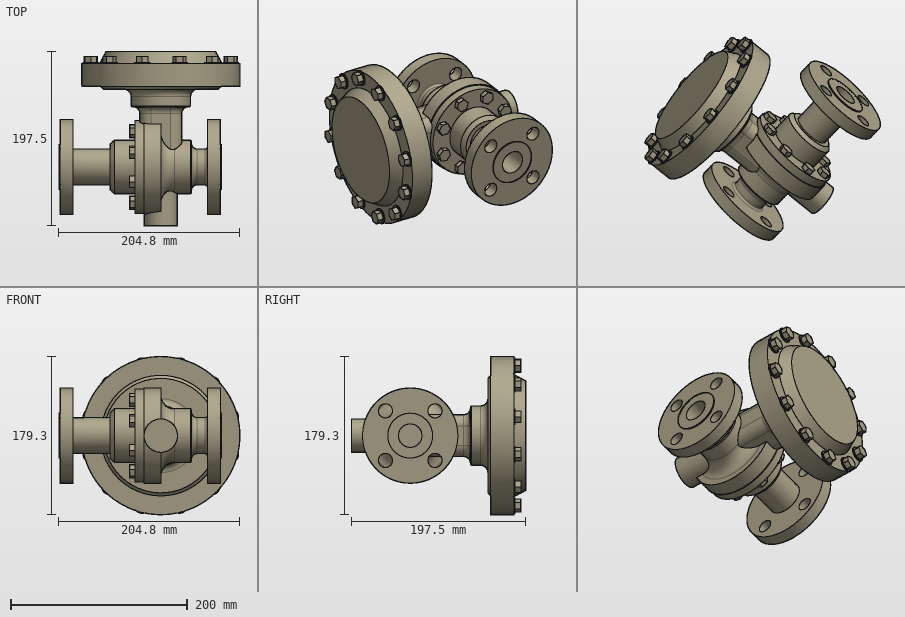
import cadquery as cq
import math


FLANGE_RADIUS = 54.0
FLANGE_THICKNESS = 14.7
RAISED_FACE_RADIUS = 25.4
RAISED_FACE_HEIGHT = 1.3
FLANGE_BOLT_CIRCLE_RADIUS = 39.7
FLANGE_HOLE_DIAMETER = 16.0
FLANGE_HOLE_COUNT = 4
INLET_END = -115.15
OUTLET_END = 68.75
BORE_DIAMETER = 26.6
INLET_FLANGE_BACK = INLET_END + RAISED_FACE_HEIGHT + FLANGE_THICKNESS
OUTLET_FLANGE_BACK = OUTLET_END - RAISED_FACE_HEIGHT - FLANGE_THICKNESS

PIPE_RADIUS = 20.5
HUB_RADIUS = 30.5
HUB_START = -57.3
HUB_CHAMFER = 4.6
COVER_START = -29.4
COVER_RADIUS = 52.8
BODY_START = -19.1
BODY_RADIUS = FLANGE_RADIUS
BODY_FILLET = 15.6
SHOULDER_END = 34.8
SHOULDER_CHAMFER = 1.2
SHOULDER_FILLET = 6.2
OUTLET_FILLET = 2.6

BRANCH_RADIUS = 18.9
BRANCH_END = -66.65

NECK_WIDTH = 47.7
NECK_CORNER_RADIUS = 12.9
NECK_FILLET = 7.4
COLLAR_START = 68.0
COLLAR_RADIUS = 33.8
COLLAR_CHAMFER = 1.2
PAD_START = 87.8
PAD_RADIUS = 64.8
PAD_BASE_RADIUS = 68.3
COLLAR_FILLET = 8.0
HOUSING_START = 91.1
HOUSING_END = 117.3
HOUSING_RADIUS = 89.66
CAP_END = 130.8
CAP_BASE_RADIUS = 69.2
CAP_TOP_RADIUS = 62.1

VENT_DIAMETER = 12.7
VENT_X = 56.5
VENT_DEPTH = 20.0

HEX_ACROSS_FLATS = 13.0
HEX_ACROSS_CORNERS = HEX_ACROSS_FLATS / math.cos(math.pi / 6)
COVER_BOLT_COUNT = 8
COVER_BOLT_CIRCLE_RADIUS = 43.8
COVER_HEAD_HEIGHT = 5.8
COVER_BOLT_TWIST = -7.5
HOUSING_BOLT_COUNT = 12
HOUSING_BOLT_CIRCLE_RADIUS = 82.0
HOUSING_HEAD_HEIGHT = 6.8
HOUSING_BOLT_TWIST = -15.0
WASHER_DIAMETER = 17.6
WASHER_THICKNESS = 1.2


def x_cylinder(radius, x_start, x_end):
    return cq.Workplane("YZ", origin=(x_start, 0, 0)).circle(radius).extrude(x_end - x_start)


def quarter_arc_middle(center_u, center_v, radius, sign_u, sign_v):
    """Point halfway along a quarter arc lying in the given quadrant of its centre."""
    offset = radius * math.cos(math.pi / 4)
    return (center_u + sign_u * offset, center_v + sign_v * offset)


def valve_body():
    """Turned body from the inlet flange back to the outlet flange back."""
    body_arc_end = BODY_FILLET
    body_arc_top = HUB_RADIUS + BODY_FILLET
    shoulder_arc_end = SHOULDER_END + SHOULDER_FILLET
    outlet_arc_start = OUTLET_FLANGE_BACK - OUTLET_FILLET
    body_arc_middle = quarter_arc_middle(body_arc_end, body_arc_top, BODY_FILLET, -1, -1)
    shoulder_arc_middle = quarter_arc_middle(
        shoulder_arc_end, PIPE_RADIUS + SHOULDER_FILLET, SHOULDER_FILLET, -1, -1
    )
    outlet_arc_middle = quarter_arc_middle(
        outlet_arc_start, PIPE_RADIUS + OUTLET_FILLET, OUTLET_FILLET, 1, -1
    )
    return (
        cq.Workplane("XY")
        .moveTo(INLET_FLANGE_BACK, 0)
        .lineTo(INLET_FLANGE_BACK, PIPE_RADIUS)
        .lineTo(HUB_START, PIPE_RADIUS)
        .lineTo(HUB_START, HUB_RADIUS - HUB_CHAMFER)
        .lineTo(HUB_START + HUB_CHAMFER, HUB_RADIUS)
        .lineTo(COVER_START, HUB_RADIUS)
        .lineTo(COVER_START, COVER_RADIUS)
        .lineTo(BODY_START, COVER_RADIUS)
        .lineTo(BODY_START, BODY_RADIUS)
        .lineTo(0, BODY_RADIUS)
        .lineTo(0, body_arc_top)
        .threePointArc(body_arc_middle, (body_arc_end, HUB_RADIUS))
        .lineTo(SHOULDER_END - SHOULDER_CHAMFER, HUB_RADIUS)
        .lineTo(SHOULDER_END, HUB_RADIUS - SHOULDER_CHAMFER)
        .lineTo(SHOULDER_END, PIPE_RADIUS + SHOULDER_FILLET)
        .threePointArc(shoulder_arc_middle, (shoulder_arc_end, PIPE_RADIUS))
        .lineTo(outlet_arc_start, PIPE_RADIUS)
        .threePointArc(outlet_arc_middle, (OUTLET_FLANGE_BACK, PIPE_RADIUS + OUTLET_FILLET))
        .lineTo(OUTLET_FLANGE_BACK, 0)
        .close()
        .revolve(360, (0, 0, 0), (1, 0, 0))
    )


def end_flange(back, face):
    """Drilled flange whose raised face ends at x = face."""
    outward = math.copysign(1, face - back)
    rim_end = face - outward * RAISED_FACE_HEIGHT
    holes = (
        cq.Workplane("YZ", origin=(back, 0, 0))
        .polarArray(FLANGE_BOLT_CIRCLE_RADIUS, 180 / FLANGE_HOLE_COUNT, 360, FLANGE_HOLE_COUNT)
        .circle(FLANGE_HOLE_DIAMETER / 2)
        .extrude(rim_end - back)
    )
    raised_face = x_cylinder(RAISED_FACE_RADIUS, back, face)
    return x_cylinder(FLANGE_RADIUS, back, rim_end).cut(holes).union(raised_face)


def branch():
    return cq.Workplane("XZ").circle(BRANCH_RADIUS).extrude(-BRANCH_END)


def neck():
    """Rounded-square column whose top flares into the underside of the collar."""
    plate_width = 3 * COLLAR_RADIUS
    margin = 1.0
    column = (
        cq.Workplane("XZ")
        .rect(NECK_WIDTH, NECK_WIDTH)
        .extrude(-COLLAR_START)
        .edges("|Y")
        .fillet(NECK_CORNER_RADIUS)
    )
    plate = (
        cq.Workplane("XZ", origin=(0, COLLAR_START, 0))
        .rect(plate_width, plate_width)
        .extrude(-COLLAR_CHAMFER)
    )
    reach = NECK_WIDTH / 2 + margin
    root_edges = cq.selectors.BoxSelector(
        (-reach, COLLAR_START - margin, -reach), (reach, COLLAR_START + margin, reach)
    )
    flared = column.union(plate).edges(root_edges).fillet(NECK_FILLET)
    trim = (
        cq.Workplane("XZ")
        .circle(COLLAR_RADIUS - COLLAR_CHAMFER)
        .extrude(-COLLAR_START - COLLAR_CHAMFER)
    )
    return flared.intersect(trim)


def housing():
    """Collar, pad, diaphragm housing and conical cap, turned about Y."""
    fillet_start = PAD_START - COLLAR_FILLET
    fillet_radius_end = COLLAR_RADIUS + COLLAR_FILLET
    fillet_middle = quarter_arc_middle(fillet_radius_end, fillet_start, COLLAR_FILLET, -1, 1)
    return (
        cq.Workplane("XY")
        .moveTo(0, COLLAR_START)
        .lineTo(COLLAR_RADIUS - COLLAR_CHAMFER, COLLAR_START)
        .lineTo(COLLAR_RADIUS, COLLAR_START + COLLAR_CHAMFER)
        .lineTo(COLLAR_RADIUS, fillet_start)
        .threePointArc(fillet_middle, (fillet_radius_end, PAD_START))
        .lineTo(PAD_RADIUS, PAD_START)
        .lineTo(PAD_BASE_RADIUS, HOUSING_START)
        .lineTo(HOUSING_RADIUS, HOUSING_START)
        .lineTo(HOUSING_RADIUS, HOUSING_END)
        .lineTo(CAP_BASE_RADIUS, HOUSING_END)
        .lineTo(CAP_TOP_RADIUS, CAP_END)
        .lineTo(0, CAP_END)
        .close()
        .revolve(360, (0, 0, 0), (0, 1, 0))
    )


def hex_head(height):
    """Bolt head standing on the XY plane with flats facing +X and -X."""
    return (
        cq.Workplane("XY")
        .transformed(rotate=(0, 0, 30))
        .polygon(6, HEX_ACROSS_CORNERS)
        .extrude(height)
    )


def bolt_ring(bolt, count, circle_radius, twist):
    """Copies of a Z-axis bolt, spaced half a pitch off the X axis.

    Each bolt turns with the ring and is also twisted about its own axis.
    """
    pitch = 360 / count
    twisted = bolt.rotate((0, 0, 0), (0, 0, 1), twist)
    on_axis = twisted.translate((circle_radius, 0, 0))
    ring = cq.Workplane("XY")
    for index in range(count):
        ring = ring.add(on_axis.rotate((0, 0, 0), (0, 0, 1), pitch * (index + 0.5)))
    return ring


def cover_bolts():
    """Heads on the inlet side of the cover, pointing toward -X."""
    head = hex_head(COVER_HEAD_HEIGHT)
    ring = bolt_ring(head, COVER_BOLT_COUNT, COVER_BOLT_CIRCLE_RADIUS, COVER_BOLT_TWIST)
    return ring.rotate((0, 0, 0), (0, 1, 0), -90).translate((COVER_START, 0, 0))


def housing_bolts():
    """Heads and washers on the far side of the housing, pointing toward +Y."""
    washer = cq.Workplane("XY").circle(WASHER_DIAMETER / 2).extrude(WASHER_THICKNESS)
    bolt = washer.union(hex_head(WASHER_THICKNESS + HOUSING_HEAD_HEIGHT))
    ring = bolt_ring(bolt, HOUSING_BOLT_COUNT, HOUSING_BOLT_CIRCLE_RADIUS, HOUSING_BOLT_TWIST)
    return ring.rotate((0, 0, 0), (1, 0, 0), -90).translate((0, HOUSING_END, 0))


def flow_bores():
    """Blind bores from both flange faces to the ends of the central body."""
    inlet = x_cylinder(BORE_DIAMETER / 2, INLET_END, HUB_START)
    outlet = x_cylinder(BORE_DIAMETER / 2, SHOULDER_END, OUTLET_END)
    return inlet.union(outlet)


def vent_port():
    return (
        cq.Workplane("XZ", origin=(VENT_X, PAD_START, 0))
        .circle(VENT_DIAMETER / 2)
        .extrude(-VENT_DEPTH)
    )


result = (
    valve_body()
    .union(end_flange(INLET_FLANGE_BACK, INLET_END))
    .union(end_flange(OUTLET_FLANGE_BACK, OUTLET_END))
    .union(branch())
    .union(neck())
    .union(housing())
)
for bolt_head in cover_bolts().vals() + housing_bolts().vals():
    result = result.union(bolt_head)
result = result.cut(flow_bores()).cut(vent_port())